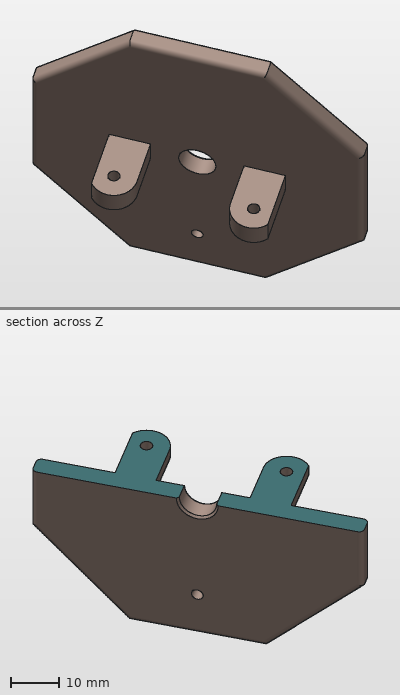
import cadquery as cq
import math

plate_width = 71.2
plate_thickness = 4.4
edge_radius = 1.2

center_hole_diameter = 8.0
center_hole_chamfer = 0.5
small_hole_diameter = 2.5
small_hole_drop = 25.05

total_depth = 19.35
lug_inner_x = 10.05
lug_outer_x = 18.9
lug_height = 5.0
lug_tip_radius = 5.0
pin_hole_diameter = 2.5

plate_back_y = plate_thickness / 2
lug_tip_y = plate_back_y - total_depth
lug_root_y = 0
pin_y = lug_tip_y + lug_tip_radius


def make_plate():
    corner_diameter = plate_width / math.cos(math.pi / 8)
    plate = (
        cq.Workplane("XZ", origin=(0, plate_back_y, 0))
        .polygon(8, corner_diameter)
        .extrude(plate_thickness)
        .rotate((0, 0, 0), (0, 1, 0), 180 / 8)
    )
    return plate.faces("<Y or >Y").edges().fillet(edge_radius)


def make_lug(left_x, right_x, pin_x):
    """Flat lug whose tip is rounded about its pin hole."""
    def tip_edge_y(x):
        return pin_y - math.sqrt(max(0, lug_tip_radius**2 - (x - pin_x) ** 2))

    return (
        cq.Workplane("XY", origin=(0, 0, -lug_height / 2))
        .moveTo(left_x, lug_root_y)
        .lineTo(left_x, tip_edge_y(left_x))
        .threePointArc((pin_x, lug_tip_y), (right_x, tip_edge_y(right_x)))
        .lineTo(right_x, lug_root_y)
        .close()
        .moveTo(pin_x, pin_y)
        .circle(pin_hole_diameter / 2)
        .extrude(lug_height)
    )


def plate_hole(diameter, z):
    return (
        cq.Workplane("XZ", origin=(0, plate_back_y, z))
        .circle(diameter / 2)
        .extrude(plate_thickness)
    )


def center_hole_back_chamfer():
    """Cone that breaks the back rim of the center hole at 45 degrees."""
    rim_radius = center_hole_diameter / 2 + center_hole_chamfer
    return (
        cq.Workplane("XZ", origin=(0, plate_back_y, 0))
        .circle(rim_radius)
        .extrude(center_hole_chamfer, taper=45)
    )


pin_x = lug_inner_x + lug_tip_radius
result = (
    make_plate()
    .union(make_lug(-lug_outer_x, -lug_inner_x, -pin_x))
    .union(make_lug(lug_inner_x, lug_outer_x, pin_x))
    .cut(plate_hole(center_hole_diameter, 0))
    .cut(center_hole_back_chamfer())
    .cut(plate_hole(small_hole_diameter, -small_hole_drop))
)